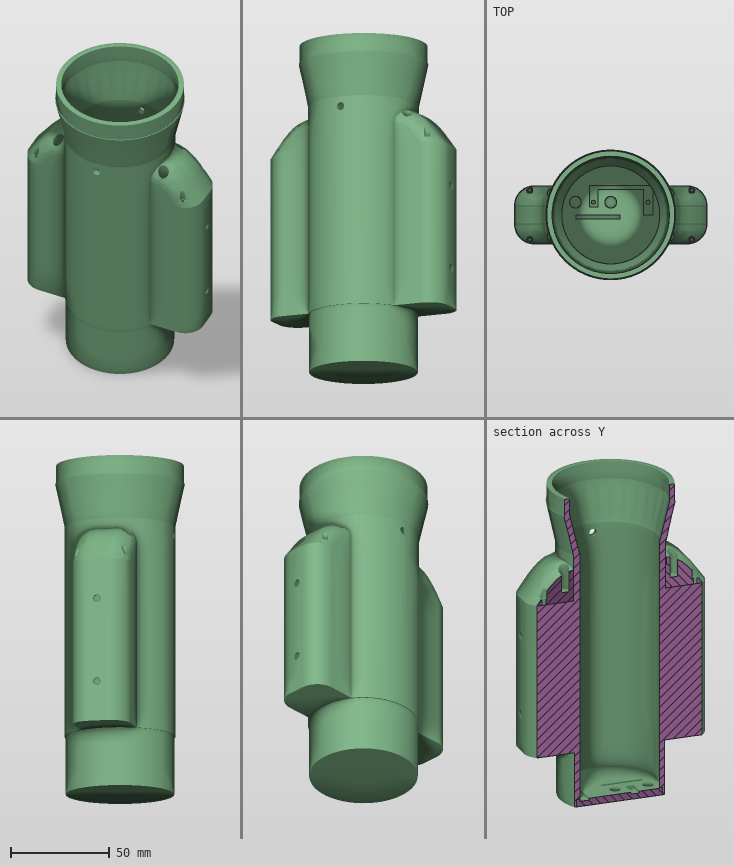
import cadquery as cq
import math

TOTAL_HEIGHT = 169.5
RIM_HEIGHT = 9.5
FUNNEL_HEIGHT = 21.9
SPIGOT_HEIGHT = 29.8
RIM_BASE = TOTAL_HEIGHT - RIM_HEIGHT
FUNNEL_BASE = RIM_BASE - FUNNEL_HEIGHT

RIM_DIAMETER = 65.0
RIM_BORE = 59.6
FUNNEL_DIAMETER = 66.0
BARREL_DIAMETER = 56.5
BARREL_BORE = 49.8
SPIGOT_DIAMETER = 55.2

POD_SPAN = 97.8
POD_WIDTH = 29.5
POD_CORNER_RADIUS = 10.2
POD_TOP = 113.2
POD_REACH = POD_SPAN / 2
POD_ROOT = 20.3

DOME_SLOPE = math.radians(52)
DOME_SHOULDER = (39.0, 126.0)
DOME_CREST = (21.9, 133.4)
DOME_FILLET = POD_CORNER_RADIUS * math.sin(DOME_SLOPE)

SCREW_X = 41.2
SCREW_Y = 12.5
SCREW_HEAD_DIAMETER = 3.0
SCREW_HOLE_DIAMETER = 1.9
SCREW_SEAT = 116.2
INNER_HOLE_X = 29.5
INNER_HOLE_Y = 10.7
INNER_HOLE_DIAMETER = 5.5
INNER_HOLE_FLOOR = 118.6

CROSS_HOLE_DIAMETER = 4.0
BARREL_HOLE_HEIGHT = 132.9
POD_HOLE_HEIGHTS = (50.0, 92.9)
POD_HOLE_DEPTH = 1.2

PLATE_DIAMETER = 52.9
PLATE_THICKNESS = 4.0
RECESS_DEPTH = 2.0
BRACKET_DEPTH = RECESS_DEPTH / 2
HOLE_ROW_Y = 6.5
ROUND_RECESS_DIAMETER = 6.0
ROUND_RECESS_XS = (-18.0, 0.0)
PIN_HOLE_DIAMETER = 2.0
PIN_HOLE_XS = (-8.8, 19.0)
SLOT_LEFT = -17.6
SLOT_RIGHT = 4.5
SLOT_TOP = -0.2
SLOT_WIDTH = 2.0
BRACKET_LEFT = -10.7
BRACKET_RIGHT = 21.4
BRACKET_TOP = 14.9
BRACKET_BAR_WIDTH = 2.0
BRACKET_LEFT_LEG_WIDTH = 4.2
BRACKET_RIGHT_LEG_WIDTH = 4.7
BRACKET_LEFT_LEG_END = 4.0
BRACKET_RIGHT_LEG_END = -0.2


def cylinder(diameter, bottom, top, x=0.0, y=0.0):
    """Upright cylinder between two heights."""
    return cq.Workplane("XY", origin=(x, y, bottom)).circle(diameter / 2).extrude(top - bottom)


def cone(bottom_diameter, top_diameter, bottom, top):
    """Upright truncated cone between two heights."""
    solid = cq.Solid.makeCone(
        bottom_diameter / 2, top_diameter / 2, top - bottom, pnt=cq.Vector(0, 0, bottom)
    )
    return cq.Workplane(solid)


def mirrored(body):
    """The same body on the -X side."""
    return body.mirror("YZ")


def make_pod():
    """Straight pod on the +X side, with rounded outer corners."""
    length = POD_REACH - POD_ROOT
    pod = (
        cq.Workplane("XY", origin=(POD_ROOT + length / 2, 0, SPIGOT_HEIGHT))
        .rect(length, POD_WIDTH)
        .extrude(POD_TOP - SPIGOT_HEIGHT)
        .edges("|Z and >X")
        .fillet(POD_CORNER_RADIUS)
    )
    holes = (
        cq.Workplane("YZ", origin=(POD_REACH, 0, 0))
        .pushPoints([(0, height) for height in POD_HOLE_HEIGHTS])
        .circle(CROSS_HOLE_DIAMETER / 2)
        .extrude(-POD_HOLE_DEPTH)
    )
    return pod.cut(holes)


def make_housing():
    """Rim, funnel, barrel, spigot and both pods, with a stepped bore."""
    pod = make_pod()
    outside = (
        cylinder(SPIGOT_DIAMETER, 0, SPIGOT_HEIGHT)
        .union(cylinder(BARREL_DIAMETER, SPIGOT_HEIGHT, FUNNEL_BASE))
        .union(cone(BARREL_DIAMETER, FUNNEL_DIAMETER, FUNNEL_BASE, RIM_BASE))
        .union(cylinder(RIM_DIAMETER, RIM_BASE, TOTAL_HEIGHT))
        .union(pod)
        .union(mirrored(pod))
    )
    barrel_hole = (
        cq.Workplane("XZ", origin=(0, 0, BARREL_HOLE_HEIGHT))
        .circle(CROSS_HOLE_DIAMETER / 2)
        .extrude(BARREL_DIAMETER / 2, both=True)
    )
    return (
        outside.cut(cylinder(PLATE_DIAMETER, 0, PLATE_THICKNESS))
        .cut(cylinder(BARREL_BORE, PLATE_THICKNESS, FUNNEL_BASE))
        .cut(cone(BARREL_BORE, RIM_BORE, FUNNEL_BASE, RIM_BASE))
        .cut(cylinder(RIM_BORE, RIM_BASE, TOTAL_HEIGHT))
        .cut(barrel_hole)
    )


def make_dome():
    """Dome whose long edges are rounded by an ellipse, as wide in Y as the pod corners."""
    skirt = 2 * POD_CORNER_RADIUS
    toe_x = POD_REACH + skirt / math.tan(DOME_SLOPE)
    toe_z = POD_TOP - skirt
    base_tangent = (-math.cos(DOME_SLOPE), math.sin(DOME_SLOPE))
    stretch = POD_CORNER_RADIUS / DOME_FILLET
    unstretched_width = POD_WIDTH / stretch
    block = (
        cq.Workplane("XZ", origin=(0, unstretched_width / 2, 0))
        .moveTo(POD_ROOT, toe_z)
        .lineTo(toe_x, toe_z)
        .lineTo(POD_REACH, POD_TOP)
        .spline([DOME_SHOULDER, DOME_CREST], tangents=[base_tangent, (-1, 0)], includeCurrent=True)
        .lineTo(POD_ROOT, DOME_CREST[1])
        .close()
        .extrude(unstretched_width)
    )
    long_edges = block.faces("<Y or >Y").edges("not(<X or <Z)")
    rounded = long_edges.fillet(DOME_FILLET).val()
    widen = cq.Matrix([[1, 0, 0, 0], [0, stretch, 0, 0], [0, 0, 1, 0]])
    skirt_cutter = (
        cq.Workplane("XY", origin=(0, 0, toe_z)).rect(2 * toe_x, 2 * POD_WIDTH).extrude(skirt)
    )
    return cq.Workplane(rounded.transformGeometry(widen)).cut(skirt_cutter)


def make_cap():
    """Domed cap on the +X pod, hollowed by the barrel and drilled from above."""
    cap = make_dome().cut(cylinder(BARREL_DIAMETER, POD_TOP, TOTAL_HEIGHT))
    for side in (-1, 1):
        y = side * SCREW_Y
        inner_y = side * INNER_HOLE_Y
        cap = (
            cap.cut(cylinder(SCREW_HEAD_DIAMETER, SCREW_SEAT, TOTAL_HEIGHT, SCREW_X, y))
            .cut(cylinder(SCREW_HOLE_DIAMETER, POD_TOP, SCREW_SEAT, SCREW_X, y))
            .cut(cylinder(INNER_HOLE_DIAMETER, INNER_HOLE_FLOOR, TOTAL_HEIGHT, INNER_HOLE_X, inner_y))
        )
    return cap


def make_plate():
    """End plate with blind recesses in its upper face."""
    plate = cylinder(PLATE_DIAMETER, 0, PLATE_THICKNESS)
    floor = cq.Workplane("XY", origin=(0, 0, PLATE_THICKNESS))
    rounds = (
        floor.pushPoints([(x, HOLE_ROW_Y) for x in ROUND_RECESS_XS])
        .circle(ROUND_RECESS_DIAMETER / 2)
        .extrude(-RECESS_DEPTH)
    )
    slot = (
        floor.moveTo(SLOT_LEFT, SLOT_TOP)
        .lineTo(SLOT_RIGHT, SLOT_TOP)
        .lineTo(SLOT_RIGHT, SLOT_TOP - SLOT_WIDTH)
        .lineTo(SLOT_LEFT, SLOT_TOP - SLOT_WIDTH)
        .close()
        .extrude(-RECESS_DEPTH)
    )
    bracket = (
        floor.moveTo(BRACKET_LEFT, BRACKET_LEFT_LEG_END)
        .lineTo(BRACKET_LEFT, BRACKET_TOP)
        .lineTo(BRACKET_RIGHT, BRACKET_TOP)
        .lineTo(BRACKET_RIGHT, BRACKET_RIGHT_LEG_END)
        .lineTo(BRACKET_RIGHT - BRACKET_RIGHT_LEG_WIDTH, BRACKET_RIGHT_LEG_END)
        .lineTo(BRACKET_RIGHT - BRACKET_RIGHT_LEG_WIDTH, BRACKET_TOP - BRACKET_BAR_WIDTH)
        .lineTo(BRACKET_LEFT + BRACKET_LEFT_LEG_WIDTH, BRACKET_TOP - BRACKET_BAR_WIDTH)
        .lineTo(BRACKET_LEFT + BRACKET_LEFT_LEG_WIDTH, BRACKET_LEFT_LEG_END)
        .close()
        .extrude(-BRACKET_DEPTH)
    )
    pin_holes = (
        floor.pushPoints([(x, HOLE_ROW_Y) for x in PIN_HOLE_XS])
        .circle(PIN_HOLE_DIAMETER / 2)
        .extrude(-RECESS_DEPTH)
    )
    return plate.cut(rounds).cut(slot).cut(bracket).cut(pin_holes)


housing = make_housing()
plate = make_plate()
right_cap = make_cap()
caps = [right_cap, mirrored(right_cap)]

result = cq.Compound.makeCompound([housing.val(), plate.val(), *[cap.val() for cap in caps]])